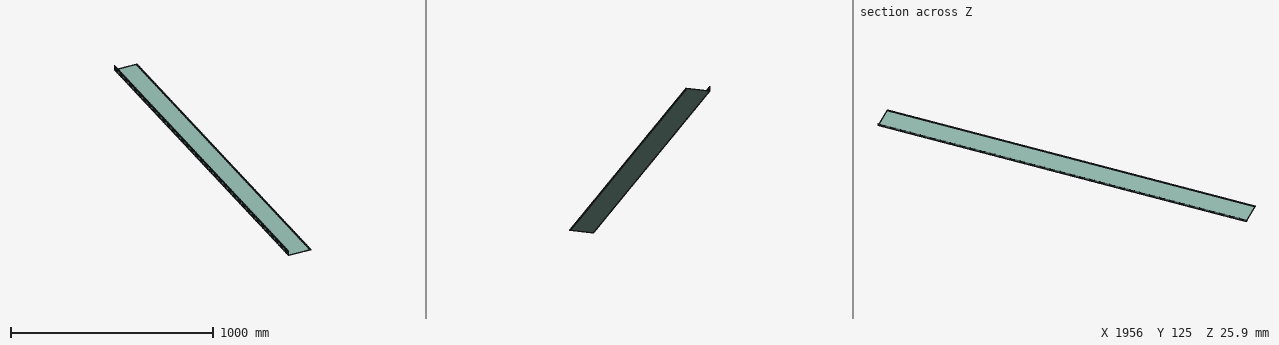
import cadquery as cq
LENGTH = 1956.0
WIDTH = 125.0
LIP_HEIGHT = 25.0

SHEET = 0.8
BEND_INNER_RADIUS = 1.0
BEND_OUTER_RADIUS = BEND_INNER_RADIUS + SHEET

HEM_GAP = 0.1
HEM_WIDTH = 5.0
HEM_INNER_RADIUS = HEM_GAP / 2
HEM_OUTER_RADIUS = HEM_INNER_RADIUS + SHEET
HEM_THICKNESS = 2 * HEM_OUTER_RADIUS

SLOT_LENGTH = 25.0
SLOT_HEIGHT = 7.0
SLOT_SPACING = 28.0
SLOT_PITCH = SLOT_LENGTH + SLOT_SPACING
SLOT_COUNT = 37

FRONT_Y = -WIDTH / 2
BACK_Y = WIDTH / 2
LIP_INNER_Y = FRONT_Y + SHEET
PLATE_TOP_Z = HEM_THICKNESS
PLATE_BOTTOM_Z = PLATE_TOP_Z - SHEET
LIP_TOP_Z = PLATE_BOTTOM_Z + LIP_HEIGHT
SLOT_CENTER_Z = PLATE_BOTTOM_Z + LIP_HEIGHT / 2


def make_strip():
    """Bent sheet: a flat plate with an upright lip along its front edge, both free edges hemmed."""
    back_fold_y = BACK_Y - HEM_OUTER_RADIUS
    back_hem_end_y = BACK_Y - HEM_WIDTH
    lip_fold_z = LIP_TOP_Z - HEM_OUTER_RADIUS
    lip_hem_end_z = LIP_TOP_Z - HEM_WIDTH
    lip_hem_front_y = LIP_INNER_Y + HEM_GAP
    lip_hem_back_y = FRONT_Y + HEM_THICKNESS
    profile = (
        cq.Workplane("YZ", origin=(-LENGTH / 2, 0, 0))
        .moveTo(FRONT_Y + BEND_OUTER_RADIUS, PLATE_BOTTOM_Z)
        .lineTo(back_fold_y, PLATE_BOTTOM_Z)
        .radiusArc((back_fold_y, SHEET), HEM_INNER_RADIUS)
        .lineTo(back_hem_end_y, SHEET)
        .lineTo(back_hem_end_y, 0)
        .lineTo(back_fold_y, 0)
        .threePointArc((BACK_Y, HEM_OUTER_RADIUS), (back_fold_y, PLATE_TOP_Z))
        .lineTo(LIP_INNER_Y + BEND_INNER_RADIUS, PLATE_TOP_Z)
        .radiusArc((LIP_INNER_Y, PLATE_TOP_Z + BEND_INNER_RADIUS), BEND_INNER_RADIUS)
        .lineTo(LIP_INNER_Y, lip_fold_z)
        .radiusArc((lip_hem_front_y, lip_fold_z), HEM_INNER_RADIUS)
        .lineTo(lip_hem_front_y, lip_hem_end_z)
        .lineTo(lip_hem_back_y, lip_hem_end_z)
        .lineTo(lip_hem_back_y, lip_fold_z)
        .threePointArc((FRONT_Y + HEM_OUTER_RADIUS, LIP_TOP_Z), (FRONT_Y, lip_fold_z))
        .lineTo(FRONT_Y, PLATE_BOTTOM_Z + BEND_OUTER_RADIUS)
        .radiusArc((FRONT_Y + BEND_OUTER_RADIUS, PLATE_BOTTOM_Z), -BEND_OUTER_RADIUS)
        .close()
    )
    return profile.extrude(LENGTH)


def make_slots():
    """Round-ended slot cutters passing through the lip below its hem."""
    return (
        cq.Workplane("XZ", origin=(0, FRONT_Y, SLOT_CENTER_Z))
        .rarray(SLOT_PITCH, 1, SLOT_COUNT, 1)
        .slot2D(SLOT_LENGTH, SLOT_HEIGHT)
        .extrude(-SHEET)
    )


result = make_strip().cut(make_slots())